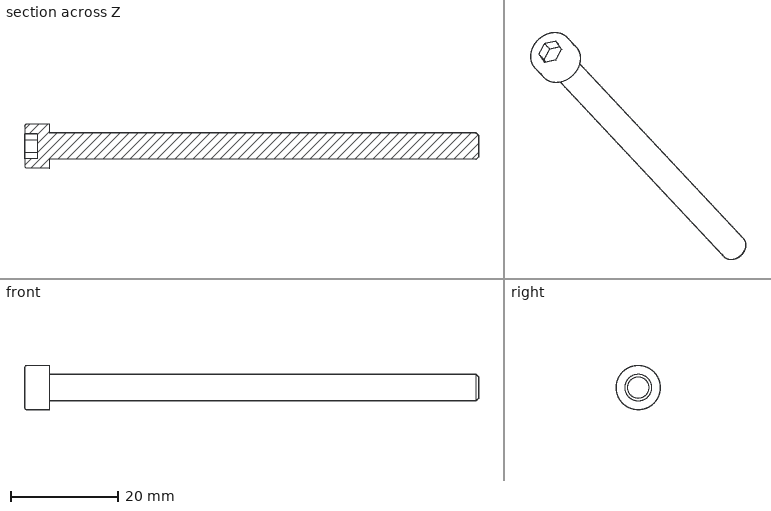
import cadquery as cq
import math

total_length = 84.8
head_diameter = 8.3
head_length = 4.7
head_edge_radius = 0.4
shank_diameter = 5.0
tip_chamfer = 0.5

socket_across_flats = 4.0
socket_depth = 2.4


def make_head():
    head = cq.Workplane("YZ").circle(head_diameter / 2).extrude(head_length)
    return head.faces("<X").edges().fillet(head_edge_radius)


def make_shank():
    shank = cq.Workplane("YZ").circle(shank_diameter / 2).extrude(total_length)
    return shank.faces(">X").edges().chamfer(tip_chamfer)


def make_socket():
    across_corners = socket_across_flats / math.cos(math.pi / 6)
    return cq.Workplane("YZ").polygon(6, across_corners).extrude(socket_depth)


result = make_head().union(make_shank()).cut(make_socket())